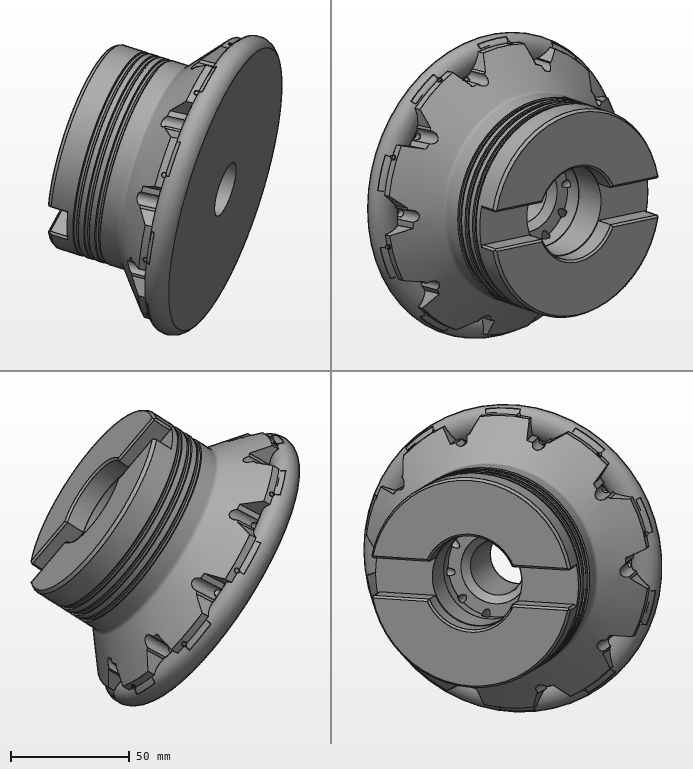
import cadquery as cq
import math


total_length = 63.0
hub_radius = 45.2
face_chamfer_length = 1.6
face_chamfer_depth = 0.9
blend_start = 32.0
cone_start = 34.1
cone_start_radius = 46.3
tooth_radius = 63.0
tooth_start = 49.2
flange_start = 51.7
flange_radius = 66.1

bead_crest_radius = 61.2
bead_join = 55.0
bead_inner_radius = 53.7
bead_shoulder = (52.7, 55.8)
bead_peak = 57.4
back_radius = 62.6

back_drop = flange_radius - back_radius
back_arc_radius = ((total_length - bead_peak) ** 2 + back_drop ** 2) / (2 * back_drop)
back_arc_centre_radius = flange_radius - back_arc_radius
join_radius = back_arc_centre_radius + math.sqrt(
    back_arc_radius ** 2 - (bead_peak - bead_join) ** 2
)

groove_starts = [11.9, 16.9, 22.0]
groove_width = 2.5
groove_depth = 0.8
groove_bevel = 0.4
groove_flat = 1.0

entry_radius = 20.2
bore_radius = 20.0
bore_depth = 24.5
bore_end_chamfer = 0.8
undercut_radius = bore_radius + bore_end_chamfer
bore_floor = 33.0
hole_radius = 11.9
hole_chamfer = 3.2

slot_half_width = 8.13
slot_depth = 9.3
slot_chamfer = 0.9
slot_end_bevel = 1.9

pocket_count = 10
pocket_tilt = 5.0
pocket_length = 18.5
pocket_outline = [(67.4, 12.3), (55.1, 7.3), (55.1, 4.2), (57.1, -1.9), (68.0, -12.5)]
notch_radius = 2.8
notch_centre = (56.0, 2.0)
coolant_radius = 1.7
coolant_inlet_angle = 8.0
coolant_inlet_radius = 18.5
coolant_inlet_x = 31.5

seat_start_angle = 8.3
seat_end_angle = 21.9
seat_start = 52.1
seat_inner_radius = 63.2
seat_end = 54.5
seat_end_radius = 65.2
seat_relief_radius = 1.0
seat_relief_depth = 0.4

pitch = 360 / pocket_count
axis_start = (0, 0, 0)
axis_end = (1, 0, 0)


def make_body():
    """Hub and cone, with the ring grooves in the hub."""
    outline = (
        cq.Workplane("XY")
        .moveTo(0, 0)
        .lineTo(0, hub_radius - face_chamfer_depth)
        .lineTo(face_chamfer_length, hub_radius)
    )
    floor_radius = hub_radius - groove_depth
    for start in groove_starts:
        end = start + groove_width
        outline = (
            outline.lineTo(start, hub_radius)
            .lineTo(start + groove_bevel, hub_radius - groove_bevel)
            .lineTo(end - groove_flat, floor_radius)
            .lineTo(end, floor_radius)
            .lineTo(end, hub_radius)
        )
    outline = (
        outline.lineTo(blend_start, hub_radius)
        .tangentArcPoint((cone_start, cone_start_radius), relative=False)
        .lineTo(tooth_start, tooth_radius)
        .lineTo(bead_join, tooth_radius)
        .lineTo(bead_join, 0)
        .close()
    )
    return outline.revolve(360, axis_start, axis_end)


def make_flange():
    """Flange with a rounded front bead that bulges forward into the pockets."""
    return (
        cq.Workplane("XY")
        .moveTo(bead_join, 0)
        .lineTo(bead_join, bead_inner_radius)
        .spline(
            [bead_shoulder, (flange_start, bead_crest_radius), (bead_join, join_radius)],
            includeCurrent=True,
        )
        .threePointArc((bead_peak, flange_radius), (total_length, back_radius))
        .lineTo(total_length, 0)
        .close()
        .revolve(360, axis_start, axis_end)
    )


def make_bore():
    """Stepped bore with an undercut and a chamfered through hole."""
    return (
        cq.Workplane("XY")
        .moveTo(0, 0)
        .lineTo(0, entry_radius + slot_chamfer)
        .lineTo(slot_chamfer, entry_radius)
        .lineTo(slot_depth, entry_radius)
        .lineTo(slot_depth, bore_radius)
        .lineTo(bore_depth, bore_radius)
        .lineTo(bore_depth + bore_end_chamfer, undercut_radius)
        .lineTo(bore_floor, undercut_radius)
        .lineTo(bore_floor, hole_radius + hole_chamfer)
        .lineTo(bore_floor + hole_chamfer, hole_radius)
        .lineTo(total_length, hole_radius)
        .lineTo(total_length, 0)
        .close()
        .revolve(360, axis_start, axis_end)
    )


def cut_slot(body):
    """Driving slot along Y, with bevels at the face and at the outer ends of its walls."""
    mouth_half_width = slot_half_width + slot_chamfer
    section = [
        (slot_depth, slot_half_width),
        (slot_chamfer, slot_half_width),
        (0, mouth_half_width),
    ]
    channel = (
        cq.Workplane("XZ")
        .polyline(section + [(x, -z) for x, z in reversed(section)])
        .close()
        .extrude(flange_radius, both=True)
    )
    body = body.cut(channel)

    bevel_start = hub_radius - slot_end_bevel
    bevel_end = hub_radius + slot_end_bevel
    bevel_half_width = slot_half_width + bevel_end - bevel_start
    for side in (1, -1):
        wall_bevels = (
            cq.Workplane("YZ")
            .polyline([
                (side * bevel_start, slot_half_width),
                (side * bevel_end, bevel_half_width),
                (side * bevel_end, -bevel_half_width),
                (side * bevel_start, -slot_half_width),
            ])
            .close()
            .extrude(slot_depth)
        )
        body = body.cut(wall_bevels)
    return body


def tilted_prism(sketch):
    """Extrude a closed outline from the flange towards -X, leaning by the pocket tilt."""
    drop = pocket_length * math.tan(math.radians(pocket_tilt))
    direction = cq.Vector(-pocket_length, 0, -drop)
    return cq.Workplane(cq.Solid.extrudeLinear(sketch.val(), [], direction))


def make_pocket():
    """Chip pocket on the -Y side, with its round notch and coolant hole."""
    base_plane = cq.Workplane(
        cq.Plane(origin=(bead_join, 0, 0), xDir=(0, -1, 0), normal=(-1, 0, 0))
    )
    walls = base_plane.polyline(pocket_outline).close()
    notch = base_plane.moveTo(*notch_centre).circle(notch_radius)
    pocket = tilted_prism(walls).union(tilted_prism(notch))

    inlet_angle = math.radians(coolant_inlet_angle)
    inlet = cq.Vector(
        coolant_inlet_x,
        -coolant_inlet_radius * math.cos(inlet_angle),
        coolant_inlet_radius * math.sin(inlet_angle),
    )
    outlet = cq.Vector(bead_join, -notch_centre[0], notch_centre[1])
    run = outlet - inlet
    coolant = cq.Solid.makeCylinder(coolant_radius, run.Length, inlet, run)
    return pocket.union(cq.Workplane(coolant))


def make_seat():
    """Shallow recess in the flange bead next to a pocket, with a round relief at its end."""
    seat = (
        cq.Workplane("XY")
        .polyline([
            (tooth_start, seat_inner_radius),
            (seat_start, seat_inner_radius),
            (seat_end, seat_end_radius),
            (seat_end, flange_radius),
            (tooth_start, flange_radius),
        ])
        .close()
        .revolve(seat_end_angle - seat_start_angle, axis_start, axis_end)
        .rotate(axis_start, axis_end, 180 + seat_start_angle)
    )
    relief = (
        cq.Workplane("XZ", origin=(flange_start, -tooth_radius + seat_relief_depth, 0))
        .circle(seat_relief_radius)
        .extrude(flange_radius - tooth_radius)
        .rotate(axis_start, axis_end, seat_end_angle)
    )
    return seat.union(relief)


body = make_body()
pocket_cutter = make_pocket()
for index in range(pocket_count):
    body = body.cut(pocket_cutter.rotate(axis_start, axis_end, index * pitch))

result = cut_slot(body.union(make_flange()).cut(make_bore()))

seat_cutter = make_seat()
for index in range(pocket_count):
    result = result.cut(seat_cutter.rotate(axis_start, axis_end, index * pitch))